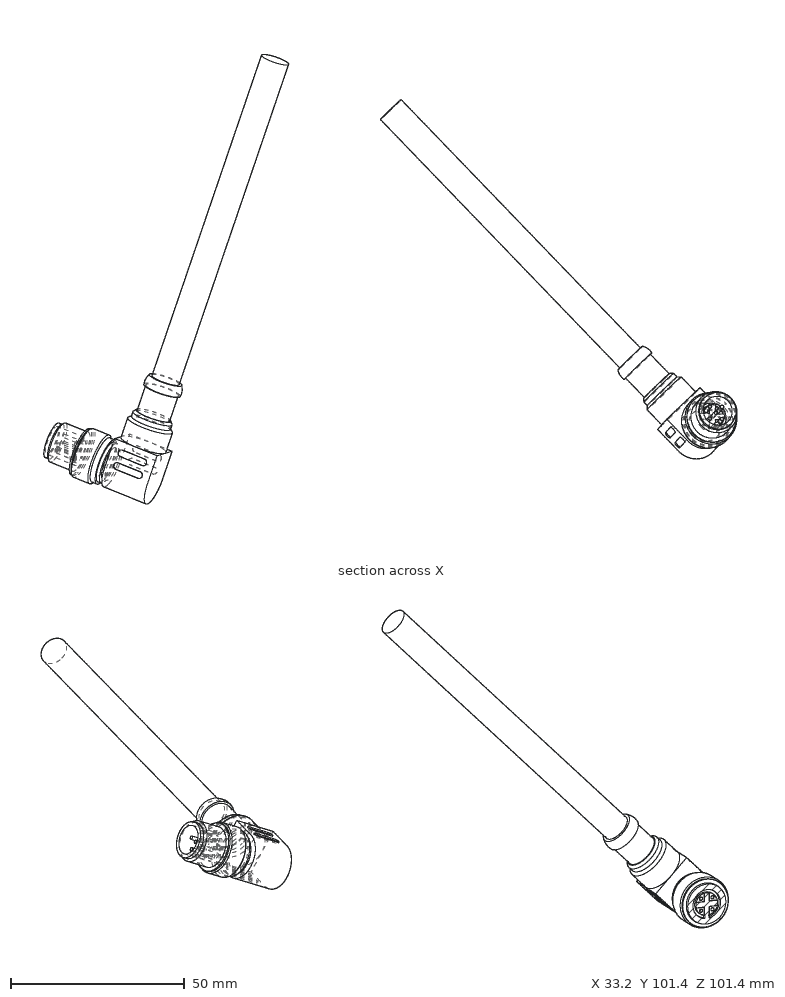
import cadquery as cq
import math

CABLE_ANGLE = 45.0
OVERALL_SIZE = 101.4

NOSE_RADIUS = 5.4
NOSE_END = 1.2
BARREL_START = 1.8
BARREL_RADIUS = 6.1
BARREL_END = 9.1
NUT_RADIUS = 7.6
NUT_RIM_RADIUS = 7.2
NUT_CREST_START = 10.0
NUT_CREST_END = 15.3
NUT_BEVEL = 0.4
SHOULDER_RADIUS = 6.9
SHOULDER_END = 17.3
SHOULDER_BACK_RADIUS = 6.2
SHOULDER_BACK_END = 18.4
NECK_RADIUS = 4.9

BORE_RADIUS = 4.3
BORE_DEPTH = 9.1
KEY_RADIUS = 0.7
KEY_HEIGHT = 1.2
KEY_SLOT_LENGTH = 4 * KEY_RADIUS
KEY_SETBACK = 1.2
PIN_RADIUS = 0.5
PIN_CIRCLE_RADIUS = 2.5
PIN_SETBACK = 2.6
PIN_COUNT = 4
FIRST_PIN_ANGLE = 45.0
INSERT_RADIUS = 3.4
INSERT_HEIGHT = 0.8
CROSS_WIDTH = 1.7
CROSS_HEIGHT = 0.8

BODY_START = 19.5
BODY_LENGTH = 13.7
BODY_RADIUS = 6.9
BODY_REACH = 8.8
BODY_MIDDLE = BODY_START + BODY_LENGTH / 2

SLOT_LENGTH = 9.1
SLOT_WIDTH = 2.0
SLOT_DEPTH = 0.4
SLOT_POSITIONS = (1.5, 5.5)

SOCKET_RADIUS = BODY_LENGTH / 2
SOCKET_END = 14.9
RING_RADIUS = 6.0
RING_START = 15.7
RING_END = 17.1
RING_TIP_RADIUS = 5.3
RING_TIP = 18.0
SLEEVE_RADIUS = 5.0
COLLAR_START = 25.8
COLLAR_MIDDLE = 27.5
COLLAR_END = 29.0
COLLAR_RADIUS = 5.6
COLLAR_TIP_RADIUS = 5.0
CABLE_RADIUS = 4.2

CABLE_END = (OVERALL_SIZE - NUT_RADIUS) / math.sin(math.radians(CABLE_ANGLE)) - CABLE_RADIUS


def make_plug():
    """Turned plug body with its nut and neck, solid inside."""
    outline = [
        (0, 0),
        (0, NOSE_RADIUS),
        (NOSE_END, NOSE_RADIUS),
        (BARREL_START, BARREL_RADIUS),
        (BARREL_END, BARREL_RADIUS),
        (BARREL_END, NUT_RIM_RADIUS),
        (NUT_CREST_START - NUT_BEVEL, NUT_RIM_RADIUS),
        (NUT_CREST_START, NUT_RADIUS),
        (NUT_CREST_END, NUT_RADIUS),
        (NUT_CREST_END + NUT_BEVEL, SHOULDER_RADIUS),
        (SHOULDER_END, SHOULDER_RADIUS),
        (SHOULDER_END, SHOULDER_BACK_RADIUS),
        (SHOULDER_BACK_END, SHOULDER_BACK_RADIUS),
        (SHOULDER_BACK_END, NECK_RADIUS),
        (BODY_MIDDLE, NECK_RADIUS),
        (BODY_MIDDLE, 0),
    ]
    return cq.Workplane("XY").polyline(outline).close().revolve(360, (0, 0, 0), (1, 0, 0))


def make_key():
    """Round-topped key rib along the lower wall of the bore."""
    return (
        cq.Workplane("YZ", origin=(KEY_SETBACK, 0, 0))
        .center(0, KEY_HEIGHT - KEY_SLOT_LENGTH / 2 - BORE_RADIUS)
        .slot2D(KEY_SLOT_LENGTH, 2 * KEY_RADIUS, 90)
        .extrude(BORE_DEPTH - KEY_SETBACK)
    )


def make_pins():
    """Four contact pins around a center pin."""
    pin_plane = cq.Workplane("YZ", origin=(PIN_SETBACK, 0, 0))
    pin_length = BORE_DEPTH - PIN_SETBACK
    outer_pins = (
        pin_plane.polarArray(PIN_CIRCLE_RADIUS, FIRST_PIN_ANGLE, 360, PIN_COUNT)
        .circle(PIN_RADIUS)
        .extrude(pin_length)
    )
    center_pin = pin_plane.circle(PIN_RADIUS).extrude(pin_length)
    return outer_pins.union(center_pin)


def make_insert():
    """Round insert on the bore floor with a raised cross between the outer pins."""
    total_height = INSERT_HEIGHT + CROSS_HEIGHT
    floor_plane = cq.Workplane("YZ", origin=(BORE_DEPTH, 0, 0))
    base = floor_plane.circle(INSERT_RADIUS).extrude(-INSERT_HEIGHT)
    limit = floor_plane.circle(INSERT_RADIUS).extrude(-total_height)
    across = floor_plane.rect(2 * INSERT_RADIUS, CROSS_WIDTH).extrude(-total_height)
    upright = floor_plane.rect(CROSS_WIDTH, 2 * INSERT_RADIUS).extrude(-total_height)
    return base.union(across.union(upright).intersect(limit))


def make_bore():
    """Blind bore in the mouth, less the key, pins and insert that stay standing in it."""
    bore = cq.Workplane("YZ").circle(BORE_RADIUS).extrude(BORE_DEPTH)
    return bore.cut(make_key()).cut(make_pins()).cut(make_insert())


def make_body():
    """D-shaped body, modelled with its flat face towards +Z."""
    body = (
        cq.Workplane("YZ", origin=(BODY_START, 0, 0))
        .moveTo(-BODY_RADIUS, BODY_REACH)
        .lineTo(-BODY_RADIUS, 0)
        .threePointArc((0, -BODY_RADIUS), (BODY_RADIUS, 0))
        .lineTo(BODY_RADIUS, BODY_REACH)
        .close()
        .extrude(BODY_LENGTH)
    )
    slots = (
        cq.Workplane("XZ")
        .pushPoints([(BODY_MIDDLE, height) for height in SLOT_POSITIONS])
        .slot2D(SLOT_LENGTH, SLOT_WIDTH)
        .extrude(SLOT_DEPTH, both=True)
    )
    for side in (-1, 1):
        body = body.cut(slots.translate((0, side * BODY_RADIUS, 0)))
    return body


def make_cable():
    """Turned strain relief and cable, modelled upright along +Z."""
    cable = (
        cq.Workplane("XZ")
        .moveTo(0, BODY_REACH)
        .lineTo(SOCKET_RADIUS, BODY_REACH)
        .lineTo(SOCKET_RADIUS, SOCKET_END)
        .lineTo(RING_RADIUS, RING_START)
        .lineTo(RING_RADIUS, RING_END)
        .lineTo(RING_TIP_RADIUS, RING_TIP)
        .lineTo(SLEEVE_RADIUS, RING_TIP)
        .lineTo(SLEEVE_RADIUS, COLLAR_START)
        .lineTo(COLLAR_RADIUS, COLLAR_START)
        .threePointArc((COLLAR_RADIUS, COLLAR_MIDDLE), (COLLAR_TIP_RADIUS, COLLAR_END))
        .lineTo(CABLE_RADIUS, COLLAR_END)
        .lineTo(CABLE_RADIUS, CABLE_END)
        .lineTo(0, CABLE_END)
        .close()
        .revolve(360, (0, 0, 0), (0, 1, 0))
    )
    return cable.translate((BODY_MIDDLE, 0, 0))


elbow = make_body().union(make_cable())
elbow = elbow.rotate((0, 0, 0), (1, 0, 0), -CABLE_ANGLE)
result = make_plug().union(elbow).cut(make_bore())